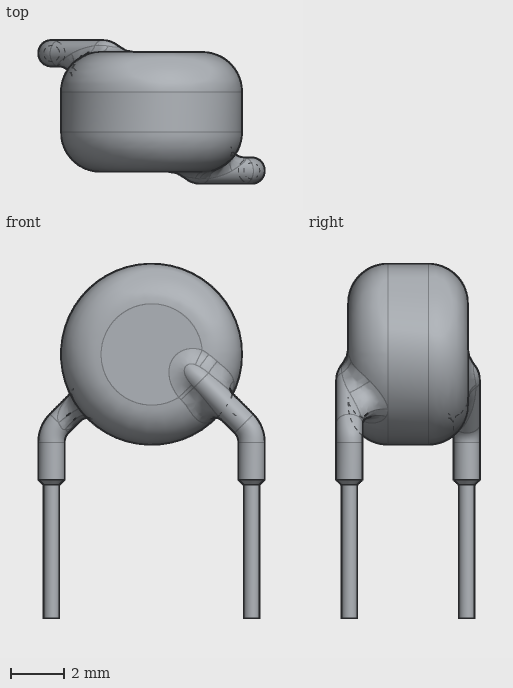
import cadquery as cq
import math

body_diameter = 6.8
body_thickness = 4.5
body_edge_radius = 1.5
body_bottom_z = 6.5
body_center_z = body_bottom_z + body_diameter / 2

lead_x = 3.75
lead_y = 2.2
wire_diameter = 0.6
sleeve_diameter = 1.0
taper_bottom_z = 5.0
taper_height = 0.2
bend_start_z = 6.6
bend_radius = 1.0
bend_angle = math.radians(45)
slant_length = 2.28
entry_bend_radius = 0.8
entry_depth = 0.6

blend_radius = 0.93
touch_tolerance = 1e-3


def make_body():
    """Round disc with both rims rounded."""
    disc = (
        cq.Workplane("XZ", origin=(0, body_thickness / 2, body_center_z))
        .circle(body_diameter / 2)
        .extrude(body_thickness)
    )
    return disc.edges("%CIRCLE").fillet(body_edge_radius)


def make_sleeve():
    """Coated part of the front lead: upright, bent inward, then turned into the disc face."""
    sin_bend = math.sin(bend_angle)
    cos_bend = math.cos(bend_angle)
    start = cq.Vector(lead_x, -lead_y, taper_bottom_z + taper_height)
    bend_start = cq.Vector(lead_x, -lead_y, bend_start_z)
    bend_end = bend_start + cq.Vector(-bend_radius * (1 - cos_bend), 0, bend_radius * sin_bend)
    slant = cq.Vector(-sin_bend, 0, cos_bend)
    inward = cq.Vector(0, 1, 0)
    slant_end = bend_end + slant * slant_length
    entry = slant_end + (slant + inward) * entry_bend_radius
    path = cq.Wire.assembleEdges([
        cq.Edge.makeLine(start, bend_start),
        cq.Edge.makeTangentArc(bend_start, cq.Vector(0, 0, 1), bend_end),
        cq.Edge.makeLine(bend_end, slant_end),
        cq.Edge.makeTangentArc(slant_end, slant, entry),
        cq.Edge.makeLine(entry, entry + inward * entry_depth),
    ])
    return (
        cq.Workplane("XY", origin=start.toTuple())
        .circle(sleeve_diameter / 2)
        .sweep(cq.Workplane(path))
    )


def make_wire():
    """Bare wire of the front lead and the taper up to its sleeve."""
    wire = (
        cq.Workplane("XY", origin=(lead_x, -lead_y, 0))
        .circle(wire_diameter / 2)
        .extrude(taper_bottom_z)
    )
    taper = (
        cq.Workplane("XY", origin=(lead_x, -lead_y, taper_bottom_z))
        .circle(wire_diameter / 2)
        .workplane(offset=taper_height)
        .circle(sleeve_diameter / 2)
        .loft()
    )
    return wire.union(taper)


def joint_edges(merged, first, second):
    """Edges of the merged solid that lie on the skins of both original solids."""
    skins = [first.val().Shells()[0], second.val().Shells()[0]]
    joint = []
    for edge in merged.edges().vals():
        middle = cq.Vertex.makeVertex(*edge.positionAt(0.5).toTuple())
        if all(middle.distance(skin) < touch_tolerance for skin in skins):
            joint.append(edge)
    return joint


def add_lead(part, turn):
    """Join a lead, turned about Z, to the part with a smooth blend around the sleeve."""
    axis = ((0, 0, 0), (0, 0, 1))
    sleeve = make_sleeve().rotate(*axis, turn)
    merged = part.union(sleeve)
    blended = merged.newObject(joint_edges(merged, part, sleeve)).fillet(blend_radius)
    return blended.union(make_wire().rotate(*axis, turn))


result = make_body()
for lead_turn in (0, 180):
    result = add_lead(result, lead_turn)